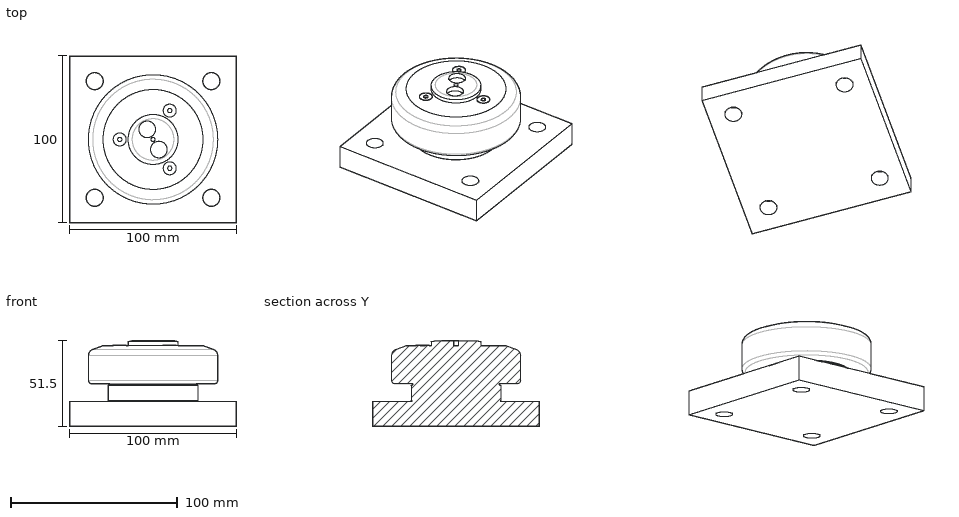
import cadquery as cq
import math

plate_side = 100.0
plate_thickness = 15.0
plate_hole_diameter = 10.11
plate_hole_spacing = 70.0

neck_diameter = 54.0
neck_height = 10.0
collar_diameter = 52.0
neck_bevel = 0.5

roller_diameter = 77.7
roller_radius = roller_diameter / 2
roller_base_z = 25.5
roller_top_z = 48.5
roller_face_radius = 30.0
lower_edge_radius = 2.0
shoulder_radius = 4.0
cone_angle = math.radians(20.0)

cap_diameter = 30.0
cap_flat_diameter = 25.0
cap_top_z = 51.5
cap_bevel_height = 0.67
cap_center_hole_diameter = 2.5
cap_center_hole_depth = 3.0
spanner_hole_diameter = 10.0
spanner_hole_depth = 3.0
spanner_hole_circle_radius = 7.0
spanner_hole_angles = (120.0, 300.0)

button_diameter = 7.8
button_height = 0.3
socket_width_across_flats = 2.5
socket_depth = 0.4
button_circle_radius = 20.0
button_angles = (60.0, 180.0, 300.0)


def cylinder(diameter, bottom_z, top_z, center=(0.0, 0.0)):
    """Upright cylinder between two heights."""
    disc = cq.Workplane("XY").workplane(offset=bottom_z).center(*center).circle(diameter / 2)
    return disc.extrude(top_z - bottom_z)


def polar_point(radius, angle_degrees):
    """Point on a circle around the Z axis."""
    angle = math.radians(angle_degrees)
    return (radius * math.cos(angle), radius * math.sin(angle))


def make_plate():
    """Square plate with a through hole near each corner."""
    blank = cq.Workplane("XY").rect(plate_side, plate_side).extrude(plate_thickness)
    return (
        blank.faces(">Z")
        .workplane()
        .rect(plate_hole_spacing, plate_hole_spacing, forConstruction=True)
        .vertices()
        .hole(plate_hole_diameter)
    )


def make_neck():
    """Neck with bevelled ends and a slimmer collar filling the gap below the roller."""
    neck_top_z = plate_thickness + neck_height
    neck = cylinder(neck_diameter, plate_thickness, neck_top_z).edges().chamfer(neck_bevel)
    return neck.union(cylinder(collar_diameter, neck_top_z, roller_base_z))


def make_roller():
    """Revolved roller whose shoulder arc runs tangent into the top cone."""
    arc_center_r = roller_radius - shoulder_radius
    cone_start_r = arc_center_r + shoulder_radius * math.sin(cone_angle)
    cone_start_z = roller_top_z - (cone_start_r - roller_face_radius) * math.tan(cone_angle)
    arc_center_z = cone_start_z - shoulder_radius * math.cos(cone_angle)
    arc_middle_angle = (math.pi / 2 - cone_angle) / 2
    arc_middle = (
        arc_center_r + shoulder_radius * math.cos(arc_middle_angle),
        arc_center_z + shoulder_radius * math.sin(arc_middle_angle),
    )
    edge_center_r = roller_radius - lower_edge_radius
    edge_center_z = roller_base_z + lower_edge_radius
    edge_middle = (
        edge_center_r + lower_edge_radius * math.sqrt(0.5),
        edge_center_z - lower_edge_radius * math.sqrt(0.5),
    )
    return (
        cq.Workplane("XZ")
        .moveTo(0, roller_base_z)
        .lineTo(edge_center_r, roller_base_z)
        .threePointArc(edge_middle, (roller_radius, edge_center_z))
        .lineTo(roller_radius, arc_center_z)
        .threePointArc(arc_middle, (cone_start_r, cone_start_z))
        .lineTo(roller_face_radius, roller_top_z)
        .lineTo(0, roller_top_z)
        .close()
        .revolve(360, (0, 0, 0), (0, 1, 0))
    )


def make_cap():
    """Round cap whose rim slopes gently down from a flat top."""
    bevel_width = (cap_diameter - cap_flat_diameter) / 2
    cap = cylinder(cap_diameter, roller_top_z, cap_top_z)
    return cap.faces(">Z").edges().chamfer(cap_bevel_height, bevel_width)


def cut_cap_holes(body):
    """Blind holes sunk from the flat top of the cap."""
    body = body.cut(cylinder(cap_center_hole_diameter, cap_top_z - cap_center_hole_depth, cap_top_z))
    for angle in spanner_hole_angles:
        center = polar_point(spanner_hole_circle_radius, angle)
        hole_floor_z = cap_top_z - spanner_hole_depth
        body = body.cut(cylinder(spanner_hole_diameter, hole_floor_z, cap_top_z, center))
    return body


def add_buttons(body):
    """Low round buttons on the roller face, each with a hexagon socket."""
    button_top_z = roller_top_z + button_height
    socket_width_across_corners = socket_width_across_flats / math.cos(math.pi / 6)
    for angle in button_angles:
        center = polar_point(button_circle_radius, angle)
        body = body.union(cylinder(button_diameter, roller_top_z, button_top_z, center))
        socket_mouth = cq.Workplane("XY").workplane(offset=button_top_z).center(*center)
        body = body.cut(socket_mouth.polygon(6, socket_width_across_corners).extrude(-socket_depth))
    return body


body = make_plate().union(make_neck()).union(make_roller()).union(make_cap())
result = add_buttons(cut_cap_holes(body))